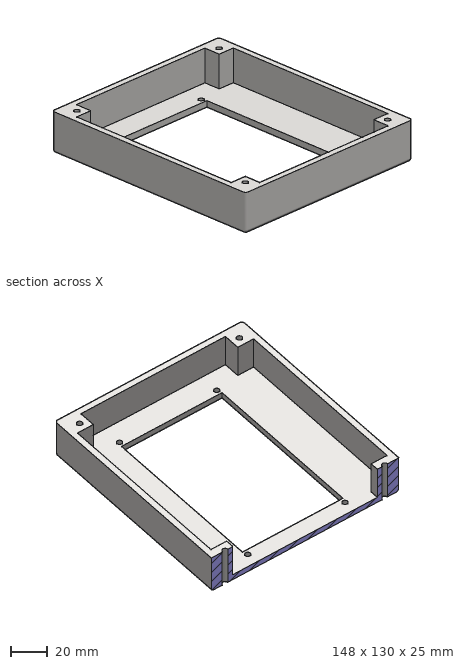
import cadquery as cq

length = 148.0
width = 130.0
height = 25.0
edge_radius = 2.0
wall = 4.0
floor_thickness = 4.0

post_reach = 15.0
post_hole_inset = 9.6
post_hole_diameter = 3.5

window_length = 107.0
window_width = 69.5
mount_spacing_x = 113.5
mount_spacing_y = 67.3
mount_hole_diameter = 3.4


def rounded_block():
    """Outer block with rounded vertical and bottom edges."""
    block = cq.Workplane("XY").box(length, width, height, centered=(True, True, False))
    return block.edges("|Z").fillet(edge_radius).faces("<Z").edges().fillet(edge_radius)


def cavity():
    """Cross-shaped hollow that leaves the walls, floor and corner posts."""
    def pocket(inset_x, inset_y):
        return (
            cq.Workplane("XY")
            .workplane(offset=floor_thickness)
            .rect(length - 2 * inset_x, width - 2 * inset_y)
            .extrude(height - floor_thickness)
        )

    return pocket(wall, post_reach).union(pocket(post_reach, wall))


def window():
    """Opening through the floor."""
    return cq.Workplane("XY").rect(window_length, window_width).extrude(height)


def four_holes(spacing_x, spacing_y, diameter):
    """Through holes at the corners of a centred rectangle."""
    return (
        cq.Workplane("XY")
        .rect(spacing_x, spacing_y, forConstruction=True)
        .vertices()
        .circle(diameter / 2)
        .extrude(height)
    )


post_holes = four_holes(
    length - 2 * post_hole_inset,
    width - 2 * post_hole_inset,
    post_hole_diameter,
)
mount_holes = four_holes(mount_spacing_x, mount_spacing_y, mount_hole_diameter)

result = rounded_block().cut(cavity()).cut(window()).cut(post_holes).cut(mount_holes)